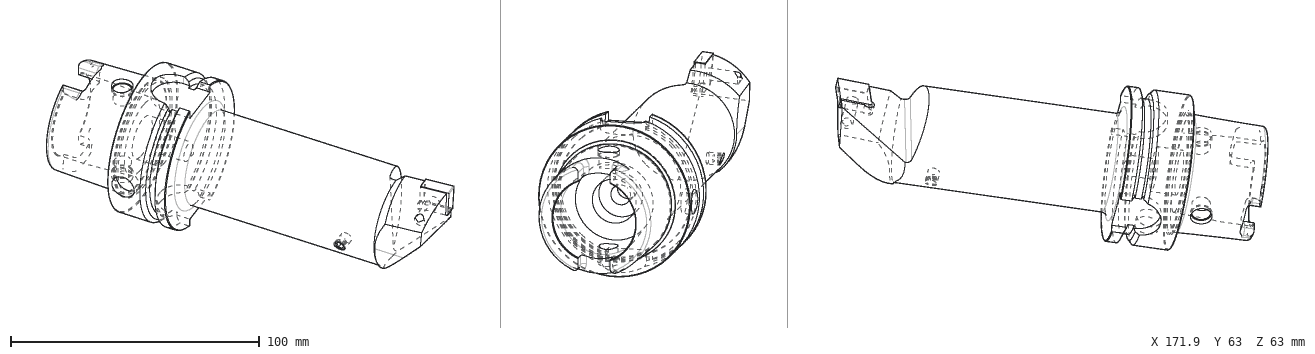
import cadquery as cq
import math


TAIL_X = -32.0
TIP_X = 139.9

TAPER_TAIL_RADIUS = 23.2
TAPER_ROOT_RADIUS = 24.0
TAPER_ROOT_X = -2.0
TAIL_FILLET = 1.4
RELIEF_WIDTH = 1.0
RELIEF_DEPTH = 0.5
FACE_RECESS_RADIUS = 25.3
FACE_RECESS_DEPTH = 0.9

BORE_RADIUS = 17.2
BORE_CHAMFER = 0.3
BORE_CONE_X = -19.5
INNER_BORE_RADIUS = 16.2
BORE_FLOOR_X = 0.0
TUBE_HOLE_RADIUS = 9.1
TUBE_HOLE_DEPTH = 10.3
COOLANT_HOLE_RADIUS = 4.1
COOLANT_HOLE_END_X = 20.6
DRILL_POINT_ANGLE = 118

DRIVE_SLOT_WIDTH = 13.2
DRIVE_SLOT_CORNER = 1.9
DRIVE_SLOT_ROUND = 1.9
DRIVE_SLOT_LIP = 5.2
TOP_DRIVE_SLOT_DEPTH = 10.1
BOTTOM_DRIVE_SLOT_DEPTH = 5.8

CROSS_HOLE_X = -9.0
CROSS_HOLE_RADIUS = 3.8
CROSS_HOLE_MOUTH_RADIUS = 4.3
CROSS_HOLE_MOUTH_FLOOR = 21.5

FLANGE_DIAMETER = 63.0
FLANGE_RADIUS = FLANGE_DIAMETER / 2
FLANGE_LENGTH = 26.0
FLANGE_CHAMFER = 0.3
GROOVE_RADIUS = 27.5
GROOVE_OUTLINE = [(14.6, FLANGE_RADIUS), (16.3, 29.7), (17.0, GROOVE_RADIUS),
                  (19.6, GROOVE_RADIUS), (21.3, FLANGE_RADIUS)]
FLANGE_SLOT_WIDTH = 18.2
FLANGE_SLOT_FLOOR = 26.5
TOP_FLANGE_SLOT_X = 5.0
BOTTOM_FLANGE_SLOT_X = 7.7
CHIP_HOLE_X = 7.0
CHIP_HOLE_RADIUS = 5.0
CHIP_HOLE_DEPTH = 4.5

BAR_RADIUS = 20.1
BAR_FILLET = 3.1

HEAD_X = 114.0
HEAD_RADIUS = 20.8
HEAD_CONE_ANGLE = 45
HEAD_BLANK_RADIUS = 31.0
CROWN_RADIUS = 27.0
CROWN_X = 119.0
CROWN_Z = 24.4
CROWN_SLOPE = 5.5
END_CLEARANCE = 0.3
END_RELIEF = 8
UNDERCUT_X = 138.0
UNDERCUT_Z = 9.3
UNDERCUT_ANGLE = 49
UNDERCUT_RELIEF = 5

RAKE_TILT = 4.5
RAKE_SETBACK = 0.7
POCKET_WALL_X = 110.8
POCKET_WALL_ANGLE = 13.4
POCKET_FILLET = 2.0

INSERT_EDGE = 12.9
INSERT_LEAD = 5
INSERT_THICKNESS = 4.6
NOSE_RADIUS = 0.3
TIP_Z = 26.6

SCREW_HOLE_RADIUS = 2.4
SCREW_HOLE_DEPTH = 17.5
CORNER_RELIEF_RADIUS = 2.0
CORNER_RELIEF_INSET = 1.0

SET_SCREW_X = 98.0
SET_SCREW_Z = -6.2
SET_SCREW_RADIUS = 2.4
SET_SCREW_LENGTH = 5.2
SET_SCREW_INNER_Y = -13.0
SET_SCREW_CHAMFER = 0.3
SOCKET_SIDES = 6
SOCKET_ACROSS_FLATS = 2.7
SOCKET_DEPTH = 2.5

HEX_HALF_SECTOR = 30
DIAGONAL = 45
FAR = 103.1


def tan(angle):
    return math.tan(math.radians(angle))


def revolve_about_x(points):
    return cq.Workplane("XZ").polyline(points).close().revolve(360, (0, 0, 0), (1, 0, 0))


def drilled(plane, radius, depth):
    """A hole with a conical drill point, going along the plane's normal."""
    point = radius / tan(DRILL_POINT_ANGLE / 2)
    return (
        cq.Workplane(plane)
        .circle(radius)
        .extrude(depth)
        .union(cq.Workplane(cq.Solid.makeCone(
            radius, 0, point, plane.origin + plane.zDir * depth, plane.zDir)))
    )


rake_normal = cq.Vector(0, -math.cos(math.radians(RAKE_TILT)), -math.sin(math.radians(RAKE_TILT)))
NOSE_OVERHANG = NOSE_RADIUS * (
    math.cos(math.radians(DIAGONAL)) / math.sin(math.radians(DIAGONAL - INSERT_LEAD)) - 1)
tip_corner = cq.Vector(TIP_X + NOSE_OVERHANG, 0, TIP_Z + NOSE_OVERHANG)
insert_plane = cq.Plane(origin=tip_corner, xDir=(1, 0, 0), normal=rake_normal)
LONG = INSERT_EDGE * math.cos(math.radians(INSERT_LEAD))
SHORT = INSERT_EDGE * math.sin(math.radians(INSERT_LEAD))
insert_center = (-(LONG + SHORT) / 2, -(LONG + SHORT) / 2)
nose_point = tip_corner + rake_normal * (INSERT_THICKNESS / 2)


def insert_blank():
    return (
        cq.Workplane(insert_plane)
        .polyline([(0, 0), (-LONG, -SHORT), (-LONG - SHORT, -LONG - SHORT), (-SHORT, -LONG)])
        .close()
        .extrude(INSERT_THICKNESS)
        .edges(cq.selectors.NearestToPointSelector(nose_point.toTuple()))
        .fillet(NOSE_RADIUS)
    )


def make_turned_blank():
    return (
        cq.Workplane("XZ")
        .moveTo(TAIL_X, 0)
        .lineTo(TAIL_X, TAPER_TAIL_RADIUS)
        .lineTo(TAPER_ROOT_X, TAPER_ROOT_RADIUS)
        .lineTo(-RELIEF_WIDTH, TAPER_ROOT_RADIUS)
        .lineTo(-RELIEF_WIDTH, TAPER_ROOT_RADIUS - RELIEF_DEPTH)
        .lineTo(FACE_RECESS_DEPTH, TAPER_ROOT_RADIUS - RELIEF_DEPTH)
        .lineTo(FACE_RECESS_DEPTH, FACE_RECESS_RADIUS)
        .lineTo(0, FACE_RECESS_RADIUS)
        .lineTo(0, FLANGE_RADIUS - FLANGE_CHAMFER)
        .lineTo(FLANGE_CHAMFER, FLANGE_RADIUS)
        .polyline(GROOVE_OUTLINE, includeCurrent=True)
        .lineTo(FLANGE_LENGTH - FLANGE_CHAMFER, FLANGE_RADIUS)
        .lineTo(FLANGE_LENGTH, FLANGE_RADIUS - FLANGE_CHAMFER)
        .lineTo(FLANGE_LENGTH, BAR_RADIUS + BAR_FILLET)
        .radiusArc((FLANGE_LENGTH + BAR_FILLET, BAR_RADIUS), -BAR_FILLET)
        .lineTo(HEAD_X, BAR_RADIUS)
        .lineTo(HEAD_X, 0)
        .close()
        .revolve(360, (0, 0, 0), (1, 0, 0))
        .faces("<X")
        .edges()
        .fillet(TAIL_FILLET)
    )


def make_head_blank():
    cone_end = HEAD_X + (HEAD_BLANK_RADIUS - BAR_RADIUS) / tan(HEAD_CONE_ANGLE)
    turned = revolve_about_x([
        (HEAD_X, 0), (HEAD_X, BAR_RADIUS), (cone_end, HEAD_BLANK_RADIUS),
        (TIP_X, HEAD_BLANK_RADIUS), (TIP_X, 0),
    ])
    length = TIP_X - HEAD_X
    section_plane = cq.Workplane("YZ", origin=(HEAD_X, 0, 0))
    lower = section_plane.circle(HEAD_RADIUS).extrude(length)
    side_walls = (
        section_plane.center(0, HEAD_RADIUS).rect(2 * HEAD_RADIUS, 2 * HEAD_RADIUS).extrude(length)
    )
    slope = math.radians(CROWN_SLOPE)
    crown_plane = cq.Plane(
        origin=(CROWN_X, 0, CROWN_Z), xDir=(0, 1, 0), normal=(math.cos(slope), 0, math.sin(slope)))
    crown = (
        cq.Workplane(crown_plane).center(0, -CROWN_RADIUS).circle(CROWN_RADIUS).extrude(FAR, both=True)
    )
    return turned.intersect(lower.union(side_walls.intersect(crown)))


def beyond_plane(origin, normal):
    return cq.Workplane(cq.Plane(origin=origin, normal=normal)).rect(FAR, FAR).extrude(FAR)


def end_face_cut():
    normal = (math.cos(math.radians(INSERT_LEAD)), -tan(END_RELIEF), -math.sin(math.radians(INSERT_LEAD)))
    return beyond_plane((TIP_X - END_CLEARANCE, 0, TIP_Z), normal)


def undercut():
    angle = math.radians(UNDERCUT_ANGLE)
    return beyond_plane(
        (UNDERCUT_X, 0, UNDERCUT_Z), (math.sin(angle), -tan(UNDERCUT_RELIEF), -math.cos(angle)))


def rake_pocket_cut():
    wall_top = (POCKET_WALL_X - FAR * tan(POCKET_WALL_ANGLE), FAR)
    plane = cq.Plane(
        origin=(0, -RAKE_SETBACK, TIP_Z), xDir=(1, 0, 0),
        normal=(0, -math.sin(math.radians(RAKE_TILT)), math.cos(math.radians(RAKE_TILT))))
    return (
        cq.Workplane(plane)
        .polyline([(POCKET_WALL_X, 0), (2 * FAR, 0), (2 * FAR, FAR), wall_top])
        .close()
        .extrude(FAR, both=True)
        .edges(cq.selectors.NearestToPointSelector((POCKET_WALL_X, 0, TIP_Z)))
        .fillet(POCKET_FILLET)
    )


def bore_cut():
    bore = revolve_about_x([
        (TAIL_X, 0), (TAIL_X, BORE_RADIUS + BORE_CHAMFER), (TAIL_X + BORE_CHAMFER, BORE_RADIUS),
        (BORE_CONE_X, BORE_RADIUS), (BORE_FLOOR_X, INNER_BORE_RADIUS), (BORE_FLOOR_X, 0),
    ])
    floor_plane = cq.Plane(origin=(BORE_FLOOR_X, 0, 0), xDir=(0, 1, 0), normal=(1, 0, 0))
    tube_hole = cq.Workplane(floor_plane).circle(TUBE_HOLE_RADIUS).extrude(TUBE_HOLE_DEPTH)
    coolant_hole = drilled(floor_plane, COOLANT_HOLE_RADIUS, COOLANT_HOLE_END_X - BORE_FLOOR_X)
    return bore.union(tube_hole).union(coolant_hole)


def drive_slot_cut(side, depth):
    """A slot across the tail wall whose mouth is rounded over into the taper surface."""
    half_width = DRIVE_SLOT_WIDTH / 2
    round_y = half_width + DRIVE_SLOT_ROUND
    round_angle = math.acos(round_y / (TAPER_TAIL_RADIUS - DRIVE_SLOT_ROUND))
    round_z = round_y * math.tan(round_angle)
    mid_angle = (math.pi + round_angle) / 2

    def on_round(angle):
        return (round_y + DRIVE_SLOT_ROUND * math.cos(angle), round_z + DRIVE_SLOT_ROUND * math.sin(angle))

    end_y, end_z = on_round(round_angle)
    lip_y = end_y + DRIVE_SLOT_LIP * math.sin(round_angle)
    lip_z = end_z - DRIVE_SLOT_LIP * math.cos(round_angle)
    half_slot = (
        cq.Workplane("YZ", origin=(TAIL_X, 0, 0))
        .lineTo(half_width, 0)
        .lineTo(half_width, round_z)
        .threePointArc(on_round(mid_angle), (end_y, end_z))
        .lineTo(lip_y, lip_z)
        .lineTo(lip_y, FLANGE_RADIUS)
        .lineTo(0, FLANGE_RADIUS)
        .close()
        .extrude(depth)
        .edges(cq.selectors.NearestToPointSelector((TAIL_X + depth, half_width, round_z / 2)))
        .fillet(DRIVE_SLOT_CORNER)
    )
    slot = half_slot.union(half_slot.mirror("XZ"))
    return slot if side > 0 else slot.mirror("XY")


def flange_slot_cut(side, start_x):
    radius = FLANGE_SLOT_WIDTH / 2
    return (
        cq.Workplane("XY", origin=(0, 0, side * FLANGE_SLOT_FLOOR))
        .moveTo(FLANGE_LENGTH, -radius)
        .lineTo(start_x + radius, -radius)
        .threePointArc((start_x, 0), (start_x + radius, radius))
        .lineTo(FLANGE_LENGTH, radius)
        .close()
        .extrude(side * FLANGE_RADIUS)
    )


def cross_hole_cut():
    axis = cq.Workplane("XY").center(CROSS_HOLE_X, 0)
    hole = axis.circle(CROSS_HOLE_RADIUS).extrude(FAR, both=True)
    mouth = (
        axis.workplane(offset=CROSS_HOLE_MOUTH_FLOOR).circle(CROSS_HOLE_MOUTH_RADIUS).extrude(FLANGE_RADIUS)
    )
    return hole.union(mouth).union(mouth.mirror("XY"))


def chip_hole_cut():
    return (
        cq.Workplane("XZ", origin=(CHIP_HOLE_X, CHIP_HOLE_DEPTH - FLANGE_RADIUS, 0))
        .circle(CHIP_HOLE_RADIUS)
        .extrude(FLANGE_RADIUS)
    )


def screw_hole_cut():
    origin = insert_plane.toWorldCoords(insert_center)
    plane = cq.Plane(origin=origin, xDir=(1, 0, 0), normal=rake_normal)
    return drilled(plane, SCREW_HOLE_RADIUS, SCREW_HOLE_DEPTH)


def corner_relief_cut():
    place = CORNER_RELIEF_INSET - LONG - SHORT
    return (
        cq.Workplane(insert_plane)
        .center(place, place)
        .circle(CORNER_RELIEF_RADIUS)
        .extrude(INSERT_THICKNESS)
    )


def make_holder():
    holder = make_turned_blank()
    holder = holder.cut(bore_cut())
    for side, depth in ((1, TOP_DRIVE_SLOT_DEPTH), (-1, BOTTOM_DRIVE_SLOT_DEPTH)):
        holder = holder.cut(drive_slot_cut(side, depth))
    for side, start_x in ((1, TOP_FLANGE_SLOT_X), (-1, BOTTOM_FLANGE_SLOT_X)):
        holder = holder.cut(flange_slot_cut(side, start_x))
    holder = holder.cut(cross_hole_cut()).cut(chip_hole_cut())
    holder = holder.union(make_head_blank())
    holder = holder.cut(end_face_cut()).cut(undercut()).cut(rake_pocket_cut())
    for cut in (insert_blank(), screw_hole_cut(), corner_relief_cut(), set_screw_blank(FAR)):
        holder = holder.cut(cut)
    return holder


def set_screw_blank(length):
    return (
        cq.Workplane("XZ", origin=(SET_SCREW_X, SET_SCREW_INNER_Y, SET_SCREW_Z))
        .circle(SET_SCREW_RADIUS)
        .extrude(length)
    )


def make_set_screw():
    return (
        set_screw_blank(SET_SCREW_LENGTH)
        .faces("<Y")
        .chamfer(SET_SCREW_CHAMFER)
        .faces("<Y")
        .workplane()
        .polygon(SOCKET_SIDES, SOCKET_ACROSS_FLATS / math.cos(math.radians(HEX_HALF_SECTOR)))
        .cutBlind(-SOCKET_DEPTH)
    )


holder = make_holder()
insert = insert_blank()
set_screw = make_set_screw()
result = cq.Compound.makeCompound([holder.val(), insert.val(), set_screw.val()])